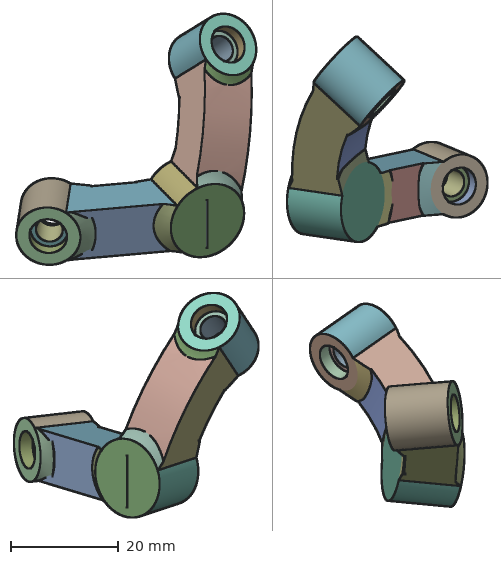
import cadquery as cq
import math

HUB_RADIUS = 7.5
HUB_LENGTH = 12.0

BOSS_RADIUS = 6.0
BOSS_LENGTH = 12.0
BORE_RADIUS = 2.5
COUNTERBORE_RADIUS = 3.5
COUNTERBORE_DEPTH = 2.7

ARM_WIDTH = 10.0
HUB_BLEND_REACH = 2.5
BOSS_BLEND_REACH = 2.75
BLEND_SAG = 0.15

LOWER_BOSS_X = -0.9
LOWER_BOSS_REACH = 26.2
LOWER_BOSS_TURN = 28.5
LOWER_SHIFT = 0.65
LOWER_THICKNESS = 9.65
LOWER_SLOPE = 13.5
LOWER_START_X = 7.1
LOWER_HUB_BLEND = (-0.2, 2.35)
LOWER_BOSS_BLEND = (0.55, 1.45)

UPPER_BOSS_X = -4.7
UPPER_BOSS_REACH = 26.6
UPPER_BOSS_TURN = 42.0
UPPER_SHIFT = 1.0
UPPER_INNER_HALF = 4.5
UPPER_OUTER_HALF = 5.25
UPPER_HUB_BLEND = (0.25, 2.1)
UPPER_BOSS_BLEND = (0.8, 1.7)

ARM_ANGLE = 106.7


def straight_bar():
    """Lower arm bar, from the hub axis to the line of the boss centre."""
    bar_slope = math.tan(math.radians(LOWER_SLOPE))
    half_x = LOWER_THICKNESS / 2 / math.cos(math.radians(LOWER_SLOPE))
    end_x = LOWER_START_X - LOWER_BOSS_REACH * bar_slope
    low_start_y = (LOWER_START_X - half_x) / bar_slope
    return (
        cq.Workplane("XY")
        .moveTo(HUB_LENGTH / 2, 0)
        .lineTo(LOWER_START_X + half_x, 0)
        .lineTo(end_x + half_x, LOWER_BOSS_REACH)
        .lineTo(end_x - half_x, LOWER_BOSS_REACH)
        .lineTo(0, low_start_y)
        .close()
        .extrude(ARM_WIDTH / 2, both=True)
    )


def bent_bar():
    """Upper arm bar, on an arc that leaves the hub square to its axis and ends at the boss."""
    drop = HUB_LENGTH / 2 - UPPER_BOSS_X
    radius = (UPPER_BOSS_REACH**2 + drop**2) / (2 * drop)
    sweep = math.asin(UPPER_BOSS_REACH / radius)
    centre_x = HUB_LENGTH / 2 - radius
    inner = radius - UPPER_INNER_HALF
    outer = radius + UPPER_OUTER_HALF

    def on_arc(arc_radius, angle):
        return (centre_x + arc_radius * math.cos(angle), arc_radius * math.sin(angle))

    return (
        cq.Workplane("XY")
        .moveTo(*on_arc(inner, 0))
        .lineTo(*on_arc(outer, 0))
        .threePointArc(on_arc(outer, sweep / 2), on_arc(outer, sweep))
        .lineTo(*on_arc(inner, sweep))
        .threePointArc(on_arc(inner, sweep / 2), on_arc(inner, 0))
        .close()
        .extrude(ARM_WIDTH / 2, both=True)
    )


def blend_ring(radius, length, reach, depths):
    """Collar about X, centred at the origin, coved from the end rims down to the arm faces."""
    low_depth, high_depth = depths
    foot_radius = radius + reach
    low_foot = low_depth - length / 2
    high_foot = length / 2 - high_depth
    cove_middle = (
        length / 2 - high_depth / 2 - BLEND_SAG,
        radius + reach / 2 - BLEND_SAG,
    )
    return (
        cq.Workplane("XY")
        .moveTo(-length / 2, 0)
        .lineTo(length / 2, 0)
        .lineTo(length / 2, radius)
        .threePointArc(cove_middle, (high_foot, foot_radius))
        .lineTo(low_foot, foot_radius)
        .lineTo(-length / 2, radius)
        .close()
        .revolve(360, (0, 0, 0), (1, 0, 0))
    )


def x_cylinder(radius, length):
    """Cylinder along X, centred at the origin."""
    return cq.Workplane("YZ").circle(radius).extrude(length / 2, both=True)


def boss_bore():
    """Through bore along X with a counterbore at each end."""
    bore = x_cylinder(BORE_RADIUS, BOSS_LENGTH)
    wide = x_cylinder(COUNTERBORE_RADIUS, BOSS_LENGTH)
    web = x_cylinder(COUNTERBORE_RADIUS, BOSS_LENGTH - 2 * COUNTERBORE_DEPTH)
    return bore.union(wide.cut(web))


def arm(bar, shift, boss_x, reach, turn, hub_blend, boss_blend):
    """Bar with its boss and blends, lying along +Y with its plane shifted in Z."""

    def at_boss(shape):
        return shape.rotate((0, 0, 0), (0, 0, 1), turn).translate((boss_x, reach, 0))

    slab = cq.Workplane("XY").box(2 * HUB_LENGTH, reach, ARM_WIDTH)
    hub_side = slab.translate((HUB_LENGTH / 2, reach / 2, 0))
    boss_side = slab.translate((0, -reach / 2, 0))
    hub_ring = blend_ring(HUB_RADIUS, HUB_LENGTH, HUB_BLEND_REACH, hub_blend)
    hub_ring = hub_ring.translate((HUB_LENGTH / 2, 0, -shift))
    boss_ring = blend_ring(BOSS_RADIUS, BOSS_LENGTH, BOSS_BLEND_REACH, boss_blend)
    return (
        bar.union(hub_ring.intersect(hub_side))
        .union(at_boss(boss_ring.intersect(boss_side)))
        .union(at_boss(x_cylinder(BOSS_RADIUS, BOSS_LENGTH)))
        .cut(at_boss(boss_bore()))
        .translate((0, 0, shift))
    )


hub = x_cylinder(HUB_RADIUS, HUB_LENGTH).translate((HUB_LENGTH / 2, 0, 0))

lower_arm = arm(
    straight_bar(),
    -LOWER_SHIFT,
    LOWER_BOSS_X,
    LOWER_BOSS_REACH,
    LOWER_BOSS_TURN,
    LOWER_HUB_BLEND,
    LOWER_BOSS_BLEND,
).mirror("XZ")

upper_arm = arm(
    bent_bar(),
    UPPER_SHIFT,
    UPPER_BOSS_X,
    UPPER_BOSS_REACH,
    UPPER_BOSS_TURN,
    UPPER_HUB_BLEND,
    UPPER_BOSS_BLEND,
).mirror("XZ").rotate((0, 0, 0), (1, 0, 0), -ARM_ANGLE)

result = hub.union(lower_arm).union(upper_arm)